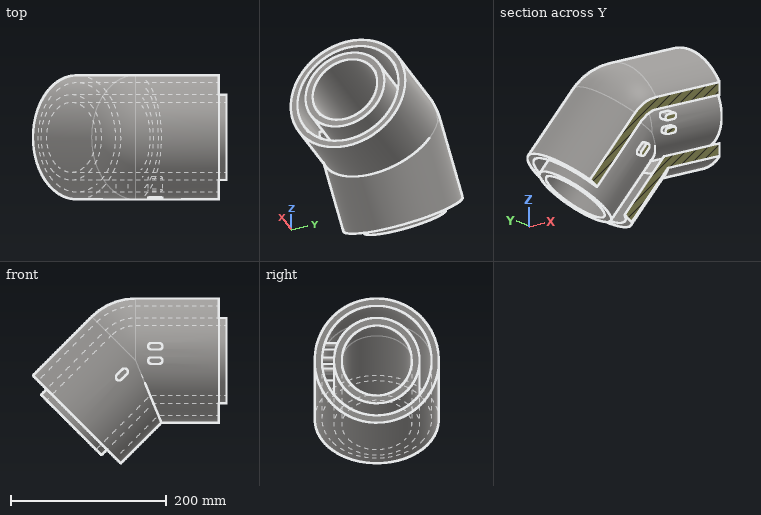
import cadquery as cq

BEND_ANGLE = 45.0
JACKET_OUTER_RADIUS = 160.0 / 2
JACKET_INNER_RADIUS = 141.0 / 2
PIPE_OUTER_RADIUS = 110.0 / 2
PIPE_BORE_RADIUS = 90.0 / 2

JACKET_LEG_LENGTH = 107.0
PIPE_PROTRUSION = 10.0
PIPE_LEG_LENGTH = JACKET_LEG_LENGTH + PIPE_PROTRUSION

SPACER_LENGTH = 18.4
SPACER_WIDTH = 8.5
SPACER_PROUD = 0.1
SPACER_DISTANCE = 25.2
SPACER_PITCH = 18.4
SPACER_OUTER_RADIUS = JACKET_OUTER_RADIUS + SPACER_PROUD
SPACER_INNER_RADIUS = (PIPE_OUTER_RADIUS + PIPE_BORE_RADIUS) / 2


def to_lower_leg(shape):
    """Carry a shape from the +X leg onto the lower leg by mirroring it in the miter plane."""
    opposite = shape.mirror("YZ")
    return opposite.rotate((0, 0, 0), (0, 1, 0), -BEND_ANGLE)


def leg_rod(radius, length):
    """Solid rod along +X, starting at the bend centre."""
    return cq.Workplane("YZ").circle(radius).extrude(length)


def bent_rod(radius, length):
    """Two rods meeting at the bend, with a spherical outer corner of the same radius."""
    leg = leg_rod(radius, length)
    return leg.union(to_lower_leg(leg)).union(cq.Workplane("XY").sphere(radius))


def bent_tube(outer_radius, inner_radius, length):
    """Hollow elbow, open at both ends."""
    return bent_rod(outer_radius, length).cut(bent_rod(inner_radius, length))


def spacer(height):
    """Oblong spacer through the front (-Y) wall of the +X leg, at a height above the leg axis."""
    oblong = (
        cq.Workplane("XZ")
        .center(SPACER_DISTANCE, height)
        .slot2D(SPACER_LENGTH, SPACER_WIDTH)
        .extrude(SPACER_OUTER_RADIUS)
    )
    reach = leg_rod(SPACER_OUTER_RADIUS, JACKET_LEG_LENGTH)
    return oblong.intersect(reach).cut(leg_rod(SPACER_INNER_RADIUS, JACKET_LEG_LENGTH))


jacket = bent_tube(JACKET_OUTER_RADIUS, JACKET_INNER_RADIUS, JACKET_LEG_LENGTH)
pipe = bent_tube(PIPE_OUTER_RADIUS, PIPE_BORE_RADIUS, PIPE_LEG_LENGTH)

result = (
    jacket.union(pipe)
    .union(spacer(0))
    .union(spacer(SPACER_PITCH))
    .union(to_lower_leg(spacer(0)))
)